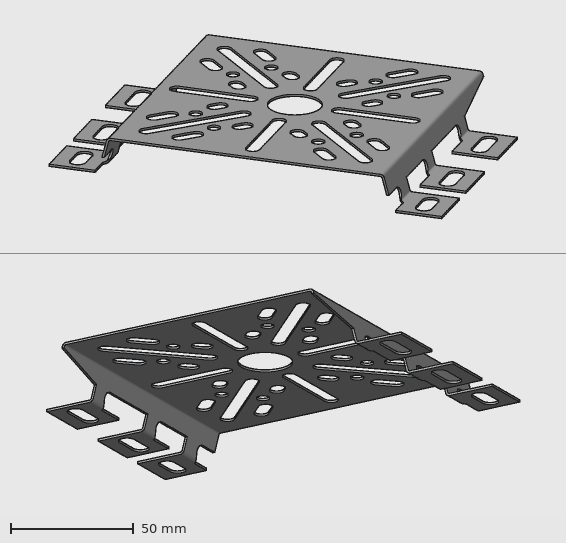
import cadquery as cq
import math

length_x = 170.0
depth_y = 120.0
height = 16.0
sheet = 1.0

web_lean = 15.0
inner_bend_radius = 0.8
outer_bend_radius = inner_bend_radius + sheet
deck_corner_x = 59.8
bend_angle = math.radians(90 - web_lean)
corner_shift = sheet * math.tan(bend_angle / 2)
foot_corner_x = deck_corner_x + (height - sheet) * math.tan(math.radians(web_lean))

web_edge_z = 7.1
taper_top_z = 13.8

tabs = [
    (32.0, 23.8, 7.8, 20.0, 18.2),
    (-8.0, 22.6, 7.8, -19.4, 17.3),
    (-38.6, 21.5, 9.0, -49.3, 15.0),
]
tab_inner_x = 65.1
tab_slot_x = 75.0
tab_slot_width = 7.0
relief_radius = (web_edge_z - sheet) / 2

centre_hole_diameter = 22.5
ray_slot_width = 6.0
axial_ray_start = 16.2
axial_ray_end = 54.0
diagonal_ray_start = 20.0
diagonal_ray_end = 70.0
round_hole_place = (40.6, 8.7)
round_hole_diameter = 5.5
side_slot_offset = 12.0
side_slot_width = 6.0
outer_slot_distance = 54.0
outer_slot_length = 13.8
inner_slot_distance = 29.2
inner_slot_length = 8.8

half_x = length_x / 2
rear_y = depth_y / 2
front_y = -rear_y


def bent_sheet():
    """Hat-shaped sheet over the full depth, with rounded bends."""
    right_upper = [(deck_corner_x, height), (foot_corner_x, sheet), (half_x, sheet)]
    right_lower = [
        (half_x, 0),
        (foot_corner_x - corner_shift, 0),
        (deck_corner_x - corner_shift, height - sheet),
    ]
    right = right_upper + right_lower
    left = [(-x, z) for x, z in reversed(right)]
    body = cq.Workplane("XZ", origin=(0, rear_y, 0)).polyline(right + left).close().extrude(depth_y)

    bends = [
        (right_upper[0], outer_bend_radius),
        (right_lower[2], inner_bend_radius),
        (right_upper[1], inner_bend_radius),
        (right_lower[1], outer_bend_radius),
    ]
    for (x, z), radius in bends:
        for side in (-1, 1):
            nearest = cq.selectors.NearestToPointSelector((side * x, 0, z))
            body = body.edges(nearest).fillet(radius)
    return body


def cut_across(outline):
    """Prism running the full length in X from a closed YZ outline."""
    return outline.extrude(half_x, both=True)


def rear_taper():
    """Space behind the rear tabs and below the tapered web edge."""
    rear_tab_y = tabs[0][0]
    points = [(rear_tab_y, 0), (rear_tab_y, web_edge_z), (rear_y, taper_top_z), (rear_y, 0)]
    return cut_across(cq.Workplane("YZ").polyline(points).close())


def web_relief(neck_y, end_y):
    """Round-ended opening in the web, from a tab's neck to the next tab.

    Its lower end narrows at 45 degrees across the bend into the tab.
    """
    arc_y = neck_y - relief_radius
    outline = (
        cq.Workplane("YZ")
        .moveTo(end_y, sheet)
        .lineTo(arc_y, sheet)
        .threePointArc((neck_y, sheet + relief_radius), (arc_y, web_edge_z))
        .lineTo(end_y, web_edge_z)
        .close()
    )
    shoulder_x = tab_inner_x - relief_radius
    bend_outline = [(tab_inner_x, end_y), (tab_inner_x, arc_y), (shoulder_x, neck_y)]
    bend_outline += [(-x, y) for x, y in reversed(bend_outline)]
    lower_bend = cq.Workplane("XY").polyline(bend_outline).close().extrude(web_edge_z / 2)
    return cut_across(outline).union(lower_bend)


def tab_gap(start_y, end_y):
    """Open space between one tab and the next."""
    outline = cq.Workplane("YZ").moveTo(start_y, 0).lineTo(start_y, web_edge_z)
    return cut_across(outline.lineTo(end_y, web_edge_z).lineTo(end_y, 0).close())


def through_slot(x, y, slot_length, width, angle=0):
    """Round-ended vertical slot, turned by angle from the X direction."""
    return (
        cq.Workplane("XY", origin=(x, y, 0))
        .transformed(rotate=(0, 0, angle))
        .slot2D(slot_length, width)
        .extrude(height)
    )


def ray_slot(start, end):
    """Radial slot along +X."""
    return through_slot((start + end) / 2, 0, end - start, ray_slot_width)


def diagonal_group():
    """Openings around one diagonal, laid out along +X."""
    group = ray_slot(diagonal_ray_start, diagonal_ray_end)
    hole_x, hole_y = round_hole_place
    for side in (-1, 1):
        hole = cq.Workplane("XY").center(hole_x, side * hole_y).circle(round_hole_diameter / 2)
        group = group.add(hole.extrude(height))
        side_slots = [
            (outer_slot_distance, outer_slot_length),
            (inner_slot_distance, inner_slot_length),
        ]
        for distance, slot_length in side_slots:
            group = group.add(
                through_slot(distance, side * side_slot_offset, slot_length, side_slot_width)
            )
    return group.combine()


def cut_deck_openings(body):
    """Cut the centre hole and the pattern that repeats every quarter turn."""
    centre_hole = cq.Workplane("XY").circle(centre_hole_diameter / 2).extrude(height)
    body = body.cut(centre_hole)
    axial = ray_slot(axial_ray_start, axial_ray_end)
    diagonal = diagonal_group()
    for quarter in range(4):
        angle = 90 * quarter
        body = body.cut(axial.rotate((0, 0, 0), (0, 0, 1), angle))
        body = body.cut(diagonal.rotate((0, 0, 0), (0, 0, 1), angle + 45))
    return body


def cut_tabs(body):
    """Shape the webs and feet into separate slotted tabs on both sides."""
    body = body.cut(rear_taper())
    next_edges = [tab[0] for tab in tabs[1:]] + [front_y]
    for (edge_y, tab_length, neck, slot_y, slot_length), next_edge in zip(tabs, next_edges):
        body = body.cut(web_relief(edge_y - neck, next_edge))
        tab_end = edge_y - tab_length
        if tab_end > next_edge:
            body = body.cut(tab_gap(tab_end, next_edge))
        for side in (-1, 1):
            body = body.cut(through_slot(side * tab_slot_x, slot_y, slot_length, tab_slot_width, 90))
    return body


result = cut_tabs(cut_deck_openings(bent_sheet()))